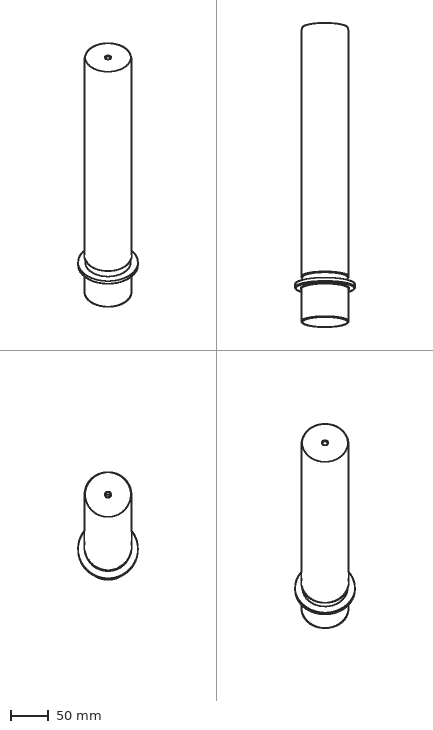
import cadquery as cq

total_length = 402.0
flange_bottom = 46.2
flange_thickness = 5.5
neck_length = 9.2
flange_top = flange_bottom + flange_thickness
neck_top = flange_top + neck_length

column_diameter = 63.0
neck_diameter = 60.7
flange_diameter = 80.0
column_radius = column_diameter / 2
neck_radius = neck_diameter / 2
flange_radius = flange_diameter / 2

lead_in_length = 4.0
lead_in_depth = 1.2
edge_chamfer = 1.2
flange_root_chamfer = 1.0

hole_diameter = 6.5
hole_mouth_diameter = 8.5
countersink_angle = 90
hole_depth = 16.0


def turned_body():
    """Revolve the half-profile of the column, neck, flange and lower spigot about Z."""
    profile = (
        cq.Workplane("XZ")
        .moveTo(0, 0)
        .lineTo(column_radius - edge_chamfer, 0)
        .lineTo(column_radius, edge_chamfer)
        .lineTo(column_radius, flange_bottom - flange_root_chamfer)
        .lineTo(column_radius + flange_root_chamfer, flange_bottom)
        .lineTo(flange_radius - edge_chamfer, flange_bottom)
        .lineTo(flange_radius, flange_bottom + edge_chamfer)
        .lineTo(flange_radius, flange_top)
        .lineTo(neck_radius, flange_top)
        .lineTo(neck_radius, neck_top)
        .lineTo(column_radius, neck_top + (column_radius - neck_radius))
        .lineTo(column_radius, total_length - lead_in_length)
        .lineTo(column_radius - lead_in_depth, total_length)
        .lineTo(0, total_length)
        .close()
    )
    return profile.revolve(360, (0, 0, 0), (0, 1, 0))


def drill_centre_hole(body):
    """Sink the blind, flat-bottomed centre hole with its countersunk mouth from the upper end."""
    return body.faces(">Z").workplane().cskHole(
        hole_diameter, hole_mouth_diameter, countersink_angle, hole_depth
    )


result = drill_centre_hole(turned_body())